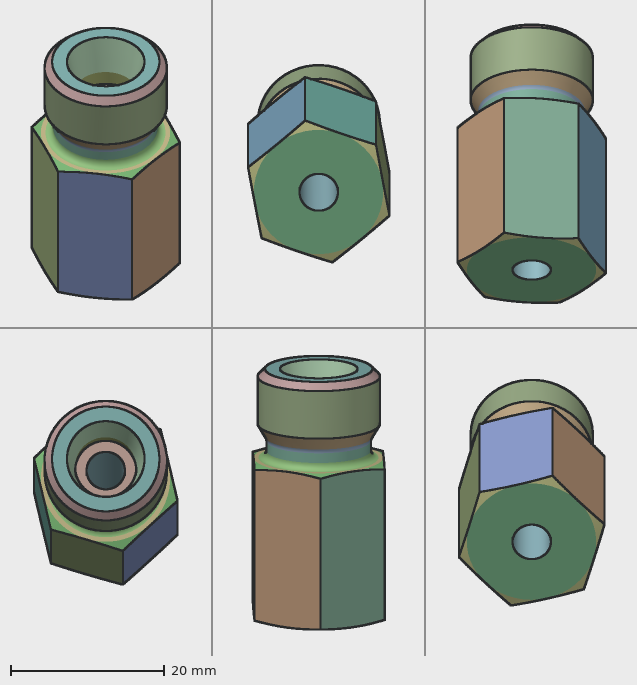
import cadquery as cq
import math

total_height = 33.0
hex_across_flats = 17.0
hex_across_corners = hex_across_flats / math.cos(math.radians(30))
hex_height = 21.02

hex_face_radius = 8.45
hex_chamfer_angle = 15.0

collar_radius = 16.0 / 2
collar_chamfer = 1.0
collar_bottom = 25.6
groove_radius = 13.7 / 2
groove_foot_fillet = 1.0
taper_angle = 30.0
taper_fillet = 1.1

mouth_radius = 10.13 / 2
mouth_half_angle = 12.0
socket_radius = 8.0 / 2
socket_depth = 7.0
passage_radius = 5.0 / 2


def make_hexagon():
    """Hexagonal body with its corners chamfered at both ends."""
    body = (
        cq.Workplane("XY")
        .polygon(6, hex_across_corners)
        .extrude(hex_height)
        .rotate((0, 0, 0), (0, 0, 1), 30)
    )
    envelope_radius = hex_across_corners / 2 + 0.33
    drop = (envelope_radius - hex_face_radius) * math.tan(math.radians(hex_chamfer_angle))
    envelope = (
        cq.Workplane("XZ")
        .moveTo(0, 0)
        .lineTo(hex_face_radius, 0)
        .lineTo(envelope_radius, drop)
        .lineTo(envelope_radius, hex_height - drop)
        .lineTo(hex_face_radius, hex_height)
        .lineTo(0, hex_height)
        .close()
        .revolve(360, (0, 0, 0), (0, 1, 0))
    )
    return body.intersect(envelope)


def make_spigot():
    """Collar and groove, joined by a taper that is rounded into the groove."""
    slope = math.radians(taper_angle)
    taper_end_radius = groove_radius + taper_fillet * (1 - math.cos(slope))
    taper_end_height = collar_bottom - (collar_radius - taper_end_radius) / math.tan(slope)
    groove_top = taper_end_height - taper_fillet * math.sin(slope)
    taper_arc_mid = (
        groove_radius + taper_fillet * (1 - math.cos(slope / 2)),
        groove_top + taper_fillet * math.sin(slope / 2),
    )
    foot_arc_inset = groove_foot_fillet * (1 - math.sqrt(0.5))
    foot_arc_mid = (groove_radius + foot_arc_inset, hex_height + foot_arc_inset)
    return (
        cq.Workplane("XZ")
        .moveTo(0, hex_height)
        .lineTo(groove_radius + groove_foot_fillet, hex_height)
        .threePointArc(foot_arc_mid, (groove_radius, hex_height + groove_foot_fillet))
        .lineTo(groove_radius, groove_top)
        .threePointArc(taper_arc_mid, (taper_end_radius, taper_end_height))
        .lineTo(collar_radius, collar_bottom)
        .lineTo(collar_radius, total_height - collar_chamfer)
        .lineTo(collar_radius - collar_chamfer, total_height)
        .lineTo(0, total_height)
        .close()
        .revolve(360, (0, 0, 0), (0, 1, 0))
    )


def make_bore():
    """Solid to remove: conical mouth, stepped socket and through passage."""
    mouth_depth = (mouth_radius - socket_radius) / math.tan(math.radians(mouth_half_angle))
    socket_floor = total_height - socket_depth
    return (
        cq.Workplane("XZ")
        .moveTo(0, 0)
        .lineTo(passage_radius, 0)
        .lineTo(passage_radius, socket_floor)
        .lineTo(socket_radius, socket_floor)
        .lineTo(socket_radius, total_height - mouth_depth)
        .lineTo(mouth_radius, total_height)
        .lineTo(0, total_height)
        .close()
        .revolve(360, (0, 0, 0), (0, 1, 0))
    )


result = make_hexagon().union(make_spigot()).cut(make_bore())